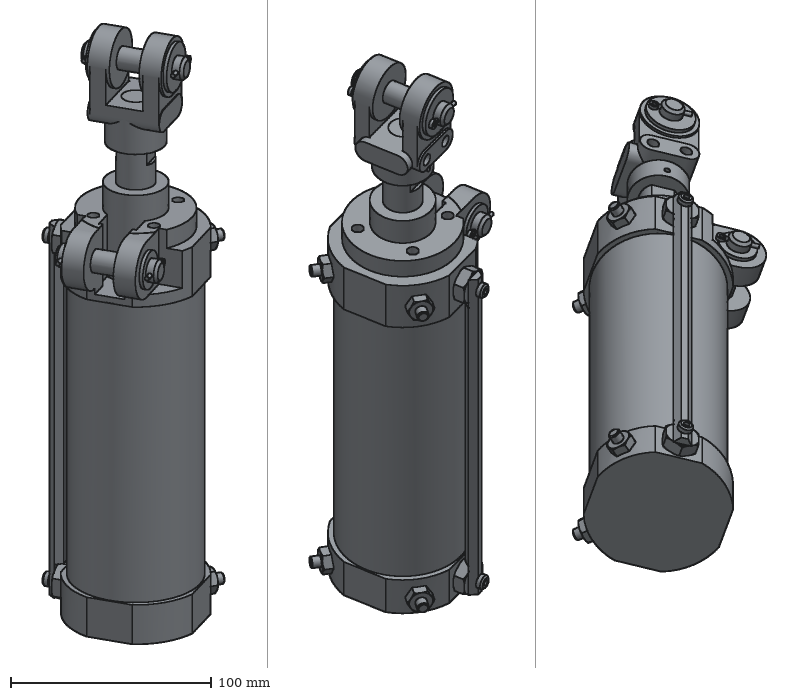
import cadquery as cq
import math

base_height = 21.7
head_bottom = 185.5
head_top = 212.8
slot_floor = 189.0
ledge_level = 192.3

tube_diameter = 69.0
cap_half_width = 35.3
cap_radius = 37.5
ear_back_y = -18.5

disc_diameter = 60.7
disc_top = 223.0
bolt_hole_diameter = 6.0
bolt_hole_depth = 4.8
bolt_circle_radius = 23.0
wide_slot = 20.0
wide_slot_front_y = -24.3
guide_diameter = 33.0
guide_top = 237.5
rod_diameter = 20.0
rod_across_flats = 16.3
rod_flats_bottom = 250.2
stud_diameter = 14.5

eye_gap = 16.0
eye_outer_x = 19.8
pin_diameter = 12.0
pin_half_length = 27.5
pin_chamfer = 1.5
washer_face_thickness = 2.0

housing_eye_radius = 15.3
housing_pin_y = -35.0
housing_pin_z = 207.5
housing_face_diameter = 20.0

clevis_diameter = 31.0
clevis_radius = clevis_diameter / 2
clevis_pin_z = 319.5 - clevis_radius
clevis_face_diameter = 26.0
clevis_bottom = 259.5
clevis_arm_outer_x = 18.5
clevis_arm_inner_x = 10.0
bar_height = 12.0
bar_z = 278.3
bar_left_x = -eye_outer_x
bar_right_x = 19.0
bar_top = bar_z + bar_height / 2
pad_back_y = 19.8
bar_hole_diameter = 6.0
bar_hole_y = 8.5
bar_hole_depth = 4.8
set_screw_diameter = 3.0
set_screw_depth = 3.2
set_screw_z = 264.5

cotter_diameter = 2.3
cotter_x = 24.0
cotter_tip_y = -10.2
cotter_eye_y = 9.5
cotter_eye_diameter = 4.8
cotter_eye_thickness = 2.0
cotter_eye_hole = 2.2
cotter_eye_overlap = 0.5

fitting_levels = (10.5, 199.7)
nut_chamfer_depth = 0.5
nut_chamfer_width = 1.0
rail_nut_across_flats = 17.0
rail_nut_outer_r = 42.0
port_nut_across_flats = 12.0
port_nut_outer_r = 42.2
port_nipple_diameter = 6.0
port_nipple_outer_r = 47.3
port_nipple_chamfer = 0.5
fitting_root_r = 33.5
port_angles = (45, 135)
rail_angle = 180

rail_width = 9.5
rail_face_width = 3.5
rail_outer_x = -45.7
rail_middle_x = -rail_nut_outer_r
rail_inner_x = -38.0
rail_nut_gap = 1.0
rail_end_overhang = 7.7
rail_screw_diameter = 7.7
rail_screw_outer_x = -49.05
rail_screw_chamfer = 1.0
rail_socket_diameter = 3.0
rail_socket_depth = 2.0


def block(x_range, y_range, z_range):
    """Axis-aligned box between the given limits."""
    corner = (x_range[0], y_range[0], z_range[0])
    size = [limits[1] - limits[0] for limits in (x_range, y_range, z_range)]
    return cq.Workplane("XY").box(*size, centered=False).translate(corner)


def z_cylinder(diameter, bottom, top):
    return cq.Workplane("XY").workplane(offset=bottom).circle(diameter / 2).extrude(top - bottom)


def x_cylinder(diameter, left, right, y, z):
    return cq.Workplane("YZ", origin=(left, y, z)).circle(diameter / 2).extrude(right - left)


def mirrored(body):
    """The body together with its mirror image across the YZ plane."""
    return body.union(body.mirror("YZ"))


def radial_frame(angle, z):
    """Workplane on the axis at height z, facing outward at the given angle from +X."""
    outward = (math.cos(math.radians(angle)), math.sin(math.radians(angle)), 0)
    return cq.Workplane(cq.Plane(origin=(0, 0, z), xDir=(0, 0, 1), normal=outward))


def hex_nut(angle, z, across_flats, root_r, outer_r, turn):
    """Hexagonal boss with turned-down corners at both ends; turn is its rotation about its own axis."""
    across_corners = across_flats / math.cos(math.radians(30))
    length = outer_r - root_r
    frame = radial_frame(angle, z).workplane(offset=root_r)
    hexagon = frame.transformed(rotate=(0, 0, turn)).polygon(6, across_corners).extrude(length)
    turned = frame.circle(across_corners / 2).extrude(length)
    turned = turned.faces(cq.selectors.ParallelDirSelector(frame.plane.zDir))
    return hexagon.intersect(turned.chamfer(nut_chamfer_depth, nut_chamfer_width))


def rail_nut(z):
    """Nut with a corner pointing up, seated on a flat of the cap."""
    return hex_nut(rail_angle, z, rail_nut_across_flats, cap_half_width, rail_nut_outer_r, 0)


def port_fitting(angle, z):
    """Nut with a flat facing up, carrying a short round nipple."""
    frame = radial_frame(angle, z).workplane(offset=fitting_root_r)
    nipple = frame.circle(port_nipple_diameter / 2).extrude(port_nipple_outer_r - fitting_root_r)
    nipple = nipple.faces(cq.selectors.DirectionMinMaxSelector(frame.plane.zDir))
    nipple = nipple.chamfer(port_nipple_chamfer)
    nut = hex_nut(angle, z, port_nut_across_flats, fitting_root_r, port_nut_outer_r, 30)
    return nut.union(nipple)


def cap(bottom, top):
    """Round end cap with four flats."""
    width = 2 * cap_half_width
    square = cq.Workplane("XY").workplane(offset=bottom).rect(width, width).extrude(top - bottom)
    return z_cylinder(2 * cap_radius, bottom, top).intersect(square)


def make_ears():
    """Two hinge ears with round ends and a thin bearing face on the outside of each."""
    right_x = (eye_gap / 2, eye_outer_x)
    z_range = (housing_pin_z - housing_eye_radius, housing_pin_z + housing_eye_radius)
    ear = block(right_x, (housing_pin_y, ear_back_y), z_range)
    ear = ear.union(x_cylinder(2 * housing_eye_radius, *right_x, housing_pin_y, housing_pin_z))
    face_end = eye_outer_x + washer_face_thickness
    ear = ear.union(x_cylinder(housing_face_diameter, eye_outer_x, face_end, housing_pin_y, housing_pin_z))
    return mirrored(ear)


def side_notches():
    """Space cut away beside the ears, through the head block and the bolted face."""
    return mirrored(
        block((eye_outer_x, cap_radius), (-cap_radius, ear_back_y), (ledge_level, disc_top))
    )


def ear_slot():
    """Space between the ears, wider next to the guide."""
    narrow = block((-eye_gap / 2, eye_gap / 2), (-cap_radius, 0), (slot_floor, disc_top))
    wide = block((-wide_slot / 2, wide_slot / 2), (wide_slot_front_y, 0), (slot_floor, disc_top))
    return narrow.union(wide)


def bolt_holes():
    """Four blind holes in the bolted face."""
    return (
        cq.Workplane("XY")
        .workplane(offset=disc_top - bolt_hole_depth)
        .polarArray(bolt_circle_radius, 45, 360, 4)
        .circle(bolt_hole_diameter / 2)
        .extrude(bolt_hole_depth)
    )


def make_guide():
    """Rod guide: plain bushing that stands in the head block and lines the ear slot."""
    guide = z_cylinder(guide_diameter, slot_floor, guide_top)
    return guide.cut(z_cylinder(rod_diameter, slot_floor, guide_top))


def make_housing():
    """Tube with both caps, the bolted face, the hinge ears and all the fittings."""
    body = z_cylinder(tube_diameter, 0, head_top)
    body = body.union(cap(0, base_height)).union(cap(head_bottom, head_top))
    body = body.union(z_cylinder(disc_diameter, head_top, disc_top))
    body = body.cut(side_notches()).union(make_ears()).cut(ear_slot()).cut(bolt_holes())
    body = body.cut(z_cylinder(guide_diameter, slot_floor, disc_top))
    body = body.cut(
        x_cylinder(pin_diameter, -pin_half_length, pin_half_length, housing_pin_y, housing_pin_z)
    )
    for z in fitting_levels:
        body = body.union(rail_nut(z))
        for angle in port_angles:
            body = body.union(port_fitting(angle, z))
    return body


def make_rod():
    """Piston rod with two wrench flats and a stud that fills the clevis bore."""
    rod = z_cylinder(rod_diameter, slot_floor, clevis_bottom)
    for side in (-1, 1):
        flat_x = sorted((side * rod_across_flats / 2, side * rod_diameter))
        rod = rod.cut(block(flat_x, (-rod_diameter, rod_diameter), (rod_flats_bottom, clevis_bottom)))
    return rod.union(z_cylinder(stud_diameter, clevis_bottom, bar_top))


def make_clevis():
    """Rod clevis: neck, rounded cross bar with a rear pad, two arms with round eyes."""
    neck = z_cylinder(clevis_diameter, clevis_bottom, bar_z)
    bar = (
        cq.Workplane("YZ", origin=(bar_left_x, 0, bar_z))
        .slot2D(clevis_diameter, bar_height)
        .extrude(bar_right_x - bar_left_x)
    )
    pad = (
        cq.Workplane("XZ", origin=(0, 0, bar_z))
        .slot2D(clevis_diameter, bar_height)
        .extrude(-pad_back_y)
    )

    arm_x = (clevis_arm_inner_x, clevis_arm_outer_x)
    arm = block(arm_x, (-clevis_radius, clevis_radius), (bar_z, clevis_pin_z))
    arm = arm.union(x_cylinder(clevis_diameter, eye_gap / 2, eye_outer_x, 0, clevis_pin_z))
    face_end = eye_outer_x + washer_face_thickness
    arm = arm.union(x_cylinder(clevis_face_diameter, eye_outer_x, face_end, 0, clevis_pin_z))

    web_x = (-clevis_arm_outer_x, clevis_arm_outer_x)
    web = block(web_x, (-clevis_radius, clevis_radius), (bar_z, bar_top))
    clevis = neck.union(bar).union(pad).union(web).union(mirrored(arm))

    clevis = clevis.cut(z_cylinder(stud_diameter, clevis_bottom, bar_top))
    clevis = clevis.cut(x_cylinder(pin_diameter, -pin_half_length, pin_half_length, 0, clevis_pin_z))
    for y in (-bar_hole_y, bar_hole_y):
        hole_end = bar_left_x + bar_hole_depth
        clevis = clevis.cut(x_cylinder(bar_hole_diameter, bar_left_x, hole_end, y, bar_z))
    set_screw_end = -clevis_radius + set_screw_depth
    return clevis.cut(x_cylinder(set_screw_diameter, -clevis_radius, set_screw_end, 0, set_screw_z))


def cotter(x):
    """Split pin along Y with a ring-shaped eye at its +Y end."""
    leg_end = cotter_eye_y - cotter_eye_diameter / 2 + cotter_eye_overlap
    leg = (
        cq.Workplane("XZ", origin=(x, cotter_tip_y, 0))
        .circle(cotter_diameter / 2)
        .extrude(cotter_tip_y - leg_end)
    )
    eye = (
        cq.Workplane("YZ", origin=(x - cotter_eye_thickness / 2, cotter_eye_y, 0))
        .circle(cotter_eye_diameter / 2)
        .circle(cotter_eye_hole / 2)
        .extrude(cotter_eye_thickness)
    )
    return leg.union(eye)


def make_pin(y, z):
    """Hinge pin with chamfered ends, locked by a split pin at each end."""
    pin = x_cylinder(pin_diameter, -pin_half_length, pin_half_length, 0, 0)
    pin = pin.faces("<X or >X").chamfer(pin_chamfer)
    for x in (-cotter_x, cotter_x):
        pin = pin.union(cotter(x))
    return pin.translate((0, y, z))


def make_rail():
    """Switch rail of six-sided section, held by a socket screw at each end."""
    half_width = rail_width / 2
    half_face = rail_face_width / 2
    bottom = fitting_levels[0] - rail_end_overhang
    top = fitting_levels[1] + rail_end_overhang
    rail = (
        cq.Workplane("XY")
        .workplane(offset=bottom)
        .polyline([
            (rail_outer_x, -half_face),
            (rail_middle_x, -half_width),
            (rail_inner_x, -half_face),
            (rail_inner_x, half_face),
            (rail_middle_x, half_width),
            (rail_outer_x, half_face),
        ])
        .close()
        .extrude(top - bottom)
    )
    nut_space_half = rail_nut_across_flats / math.sqrt(3) + rail_nut_gap
    for z in fitting_levels:
        nut_space = (z - nut_space_half, z + nut_space_half)
        rail = rail.cut(block((rail_middle_x, 0), (-half_width, half_width), nut_space))
        screw = x_cylinder(rail_screw_diameter, rail_screw_outer_x, rail_outer_x, 0, z)
        screw = screw.faces("<X").chamfer(rail_screw_chamfer)
        socket_end = rail_screw_outer_x + rail_socket_depth
        screw = screw.cut(x_cylinder(rail_socket_diameter, rail_screw_outer_x, socket_end, 0, z))
        rail = rail.union(screw)
    return rail


housing = make_housing()
guide = make_guide()
rod = make_rod()
clevis = make_clevis()
rail = make_rail()
pin_positions = [(housing_pin_y, housing_pin_z), (0, clevis_pin_z)]
pins = [make_pin(y, z) for y, z in pin_positions]

result = cq.Compound.makeCompound(
    [housing.val(), guide.val(), rod.val(), clevis.val(), rail.val()] + [pin.val() for pin in pins]
)